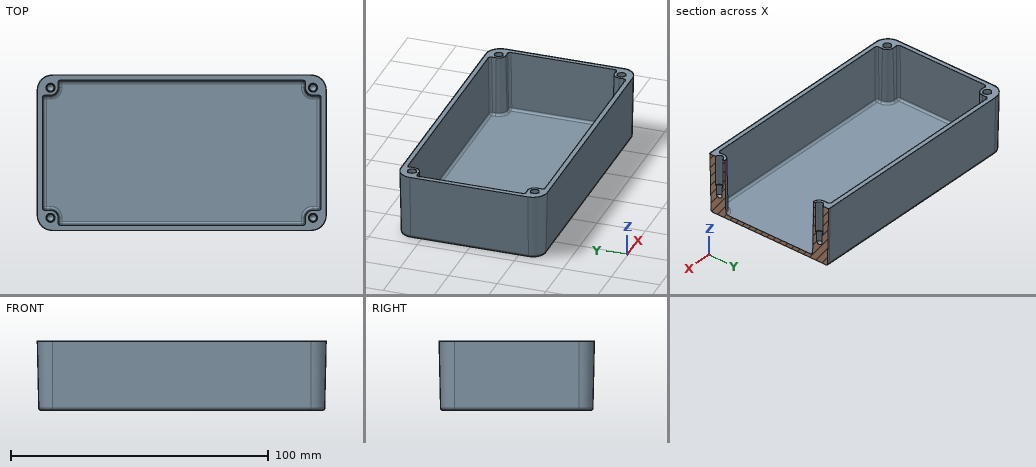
import cadquery as cq
import math

length = 112.4
width = 60.5
height = 27.0
corner_radius = 6.0
draft_angle = 1.25
bottom_edge_radius = 1.0

wall = 2.0
floor_thickness = 2.0
cavity_corner_radius = 1.0
floor_fillet = 1.0

hole_inset_x = 5.2
hole_inset_y = 5.0
boss_radius = 2.9

thread_diameter = 3.5
thread_depth = 13.5
drill_diameter = 2.7
drill_depth = 18.0
drill_point_angle = 118.0

hole_x = length / 2 - hole_inset_x
hole_y = width / 2 - hole_inset_y
hole_centres = [(sx * hole_x, sy * hole_y) for sx in (-1, 1) for sy in (-1, 1)]


def outer_body():
    """Drafted block, widest at the open rim, with a rounded bottom edge."""
    rim = cq.Sketch().rect(length, width).vertices().fillet(corner_radius)
    block = cq.Workplane("XY").workplane(offset=height).placeSketch(rim).extrude(-height, taper=draft_angle)
    return block.faces("<Z").edges().fillet(bottom_edge_radius)


def cavity():
    """Drafted pocket with notched corners that leave the four screw bosses standing."""
    opening_length = length - 2 * wall
    opening_width = width - 2 * wall
    notch_x = hole_inset_x - wall + boss_radius
    notch_y = hole_inset_y - wall + boss_radius
    opening = (
        cq.Sketch()
        .rect(opening_length, opening_width)
        .rarray(opening_length, opening_width, 2, 2)
        .rect(2 * notch_x, 2 * notch_y, mode="s")
        .reset()
        .vertices("not (>X or <X or >Y or <Y)")
        .fillet(boss_radius)
    )
    depth = height - floor_thickness
    pocket = cq.Workplane("XY").workplane(offset=height).placeSketch(opening).extrude(-depth, taper=draft_angle)
    pocket = pocket.faces(">X or <X or >Y or <Y").edges("not #Z").fillet(cavity_corner_radius)
    return pocket.faces("<Z").edges().fillet(floor_fillet)


def screw_hole():
    """Threaded bore, smaller tap drill bore and conical drill point, about the Z axis."""
    thread_radius = thread_diameter / 2
    drill_radius = drill_diameter / 2
    point_depth = drill_radius / math.tan(math.radians(drill_point_angle / 2))
    return (
        cq.Workplane("XZ")
        .moveTo(0, height)
        .lineTo(thread_radius, height)
        .lineTo(thread_radius, height - thread_depth)
        .lineTo(drill_radius, height - thread_depth)
        .lineTo(drill_radius, height - drill_depth)
        .lineTo(0, height - drill_depth - point_depth)
        .close()
        .revolve(360, (0, 0, 0), (0, 1, 0))
    )


result = outer_body().cut(cavity())
for x, y in hole_centres:
    result = result.cut(screw_hole().translate((x, y, 0)))